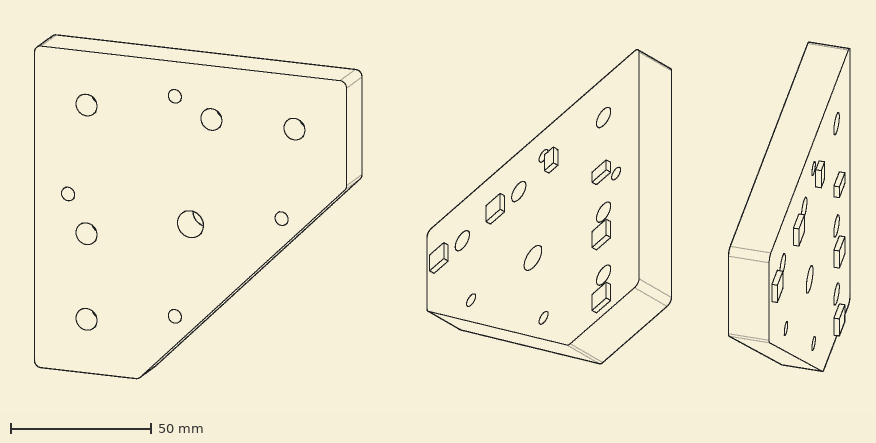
import cadquery as cq
import math

side = 120.0
plate_thickness = 15.0
short_edge = 40.0
corner_radius = 2.5

arm_line = 20.0
screw_diameter = 8.0
screw_places = (68.0, 100.0)

centre_hole_place = side / 2
centre_hole_diameter = 10.0

ring_centre = 54.0
ring_radius = 41.0
ring_hole_diameter = 5.0
ring_hole_count = 4

tab_height = 2.0
tab_width = screw_diameter
tab_spans = ((48.5, 5.0), (80.0, 8.0), (112.0, 8.0))


def from_top_left(across, down):
    """Point in the plate plane, measured from the top left corner."""
    return (across, side - down)


def plane_at(depth):
    """XZ sketch plane at the given Y; its normal is -Y, so negative extrusions run toward +Y."""
    return cq.Workplane("XZ", origin=(0, depth, 0))


def make_plate():
    outline = [
        from_top_left(0, 0),
        from_top_left(side, 0),
        from_top_left(side, short_edge),
        from_top_left(short_edge, side),
        from_top_left(0, side),
    ]
    plate = plane_at(0).polyline(outline).close().extrude(-plate_thickness)
    return plate.edges("|Y").fillet(corner_radius)


def make_tab(across, down, size_across, size_down):
    tab = plane_at(plate_thickness).pushPoints([from_top_left(across, down)])
    return tab.rect(size_across, size_down).extrude(-tab_height)


def cut_holes(body, centres, diameter):
    holes = plane_at(0).pushPoints(centres).circle(diameter / 2).extrude(-plate_thickness)
    return body.cut(holes)


result = make_plate()

screw_centres = [from_top_left(arm_line, arm_line)]
for place in screw_places:
    screw_centres.append(from_top_left(place, arm_line))
    screw_centres.append(from_top_left(arm_line, place))
result = cut_holes(result, screw_centres, screw_diameter)

centre_hole = from_top_left(centre_hole_place, centre_hole_place)
result = cut_holes(result, [centre_hole], centre_hole_diameter)

ring_centres = []
for index in range(ring_hole_count):
    angle = 2 * math.pi * index / ring_hole_count
    across = ring_centre + ring_radius * math.cos(angle)
    down = ring_centre + ring_radius * math.sin(angle)
    ring_centres.append(from_top_left(across, down))
result = cut_holes(result, ring_centres, ring_hole_diameter)

for tab_centre, tab_length in tab_spans:
    result = result.union(make_tab(tab_centre, arm_line, tab_length, tab_width))
    result = result.union(make_tab(arm_line, tab_centre, tab_width, tab_length))